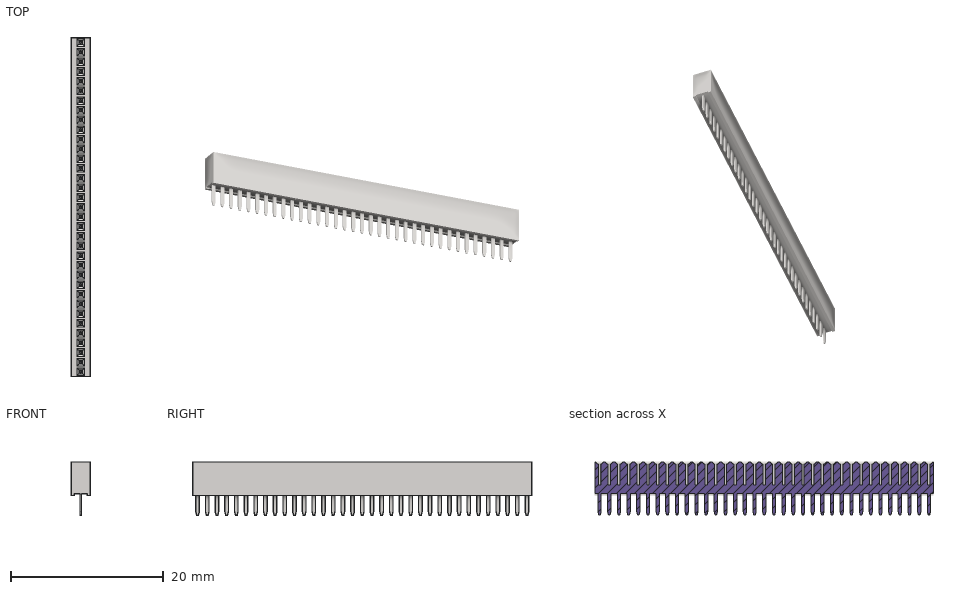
import cadquery as cq

contact_count = 35
pitch = 1.27
body_width = 2.54
body_length = contact_count * pitch
overall_height = 7.0
body_height = 4.4
tail_length = overall_height - body_height

foot_width = 0.42
channel_depth = 0.2

funnel_mouth = 1.0
hole_diameter = 0.25
funnel_floor = 0.5
funnel_depth = (funnel_mouth - funnel_floor) / 2
hole_depth = 3.0

tail_width = 0.5
tail_thickness = 0.2
tip_width = 0.25
tip_length = 0.5

contact_positions = [(i - (contact_count - 1) / 2) * pitch for i in range(contact_count)]


def make_body():
    """Housing block with the channel cut along its underside."""
    block = cq.Workplane("XY").box(body_width, body_length, body_height, centered=(True, True, False))
    channel_width = body_width - 2 * foot_width
    channel = cq.Workplane("XY").box(
        channel_width, body_length, channel_depth, centered=(True, True, False)
    )
    return block.cut(channel)


def make_socket():
    """Cutter for one socket: tapered funnel plus round contact hole."""
    funnel = (
        cq.Workplane("XY", origin=(0, 0, body_height))
        .rect(funnel_mouth, funnel_mouth)
        .workplane(offset=-funnel_depth)
        .rect(funnel_floor, funnel_floor)
        .loft(ruled=True)
    )
    hole = (
        cq.Workplane("XY", origin=(0, 0, body_height - hole_depth))
        .circle(hole_diameter / 2)
        .extrude(hole_depth - funnel_depth)
    )
    return funnel.union(hole)


def make_tail():
    """One solder tail, rooted in the channel roof and tapered in width at its tip."""
    tip_z = -tail_length
    half_width = tail_width / 2
    half_tip = tip_width / 2
    outline = [
        (-half_width, channel_depth),
        (-half_width, tip_z + tip_length),
        (-half_tip, tip_z),
        (half_tip, tip_z),
        (half_width, tip_z + tip_length),
        (half_width, channel_depth),
    ]
    return cq.Workplane("YZ").polyline(outline).close().extrude(tail_thickness / 2, both=True)


def place_at_contacts(feature):
    """Copies of a feature, one at every contact position along Y."""
    copies = [feature.val().moved(cq.Location(cq.Vector(0, y, 0))) for y in contact_positions]
    return cq.Workplane(obj=cq.Compound.makeCompound(copies))


sockets = place_at_contacts(make_socket())
tails = place_at_contacts(make_tail())

result = make_body().cut(sockets).union(tails)